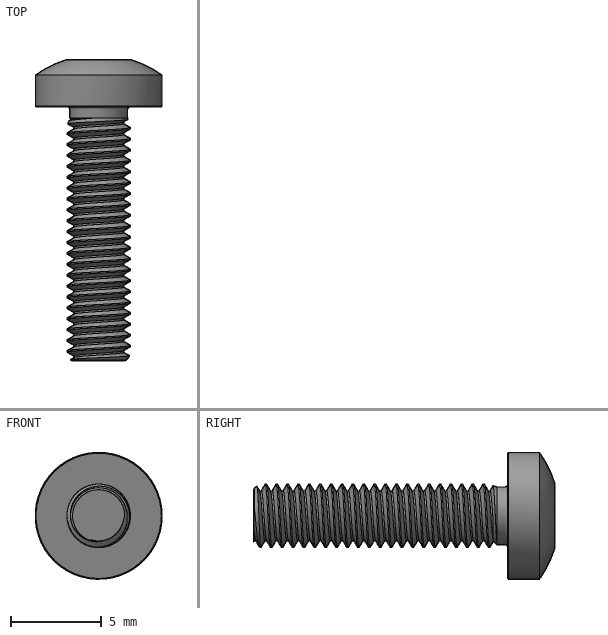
import cadquery as cq
import math


head_radius = 3.5
head_height = 2.6
head_side_height = 1.75
crown_radius = 6.0
head_edge_chamfer = 0.05

shank_length = 14.0
thread_radius = 1.75
neck_radius = 1.6
neck_length = 0.6
neck_fillet = 0.15

pitch = 0.6
flank_angle = math.radians(30)
thread_sharp_height = pitch / (2 * math.tan(flank_angle))
thread_depth = 17 / 24 * thread_sharp_height
root_radius = thread_radius - thread_depth
crest_width = pitch / 8
entry_cone_length = 0.45
tip_radius = 1.55
tip_cone_length = 0.36
tip_face_radius = 1.44
tip_chamfer_length = 0.05
groove_overcut = 0.03
groove_start = 0.275


def make_head():
    crown_centre = head_side_height - math.sqrt(crown_radius**2 - head_radius**2)
    flat_radius = math.sqrt(crown_radius**2 - (head_height - crown_centre) ** 2)
    mid_radius = (flat_radius + head_radius) / 2
    mid_height = crown_centre + math.sqrt(crown_radius**2 - mid_radius**2)
    outline = (
        cq.Workplane("XY")
        .lineTo(head_radius - head_edge_chamfer, 0)
        .lineTo(head_radius, head_edge_chamfer)
        .lineTo(head_radius, head_side_height)
        .threePointArc((mid_radius, mid_height), (flat_radius, head_height))
        .lineTo(0, head_height)
        .close()
    )
    return outline.revolve(360, (0, 0, 0), (0, 1, 0))


def make_neck():
    """Plain neck with a fillet under the head and a 45 degree run-out to the thread root."""
    fillet_mid = neck_fillet * (1 - math.sqrt(0.5))
    runout_end = neck_length + neck_radius - root_radius
    outline = (
        cq.Workplane("XY")
        .lineTo(neck_radius + neck_fillet, 0)
        .threePointArc((neck_radius + fillet_mid, -fillet_mid), (neck_radius, -neck_fillet))
        .lineTo(neck_radius, -neck_length)
        .lineTo(root_radius, -runout_end)
        .lineTo(0, -runout_end)
        .close()
    )
    return outline.revolve(360, (0, 0, 0), (0, 1, 0))


def make_thread_blank():
    """Crest envelope of the thread: cylinder with an entry cone and an edge-chamfered tip cone."""
    outline = (
        cq.Workplane("XY")
        .lineTo(neck_radius, 0)
        .lineTo(neck_radius, -neck_length)
        .lineTo(thread_radius, -neck_length - entry_cone_length)
        .lineTo(thread_radius, -shank_length + tip_cone_length)
        .lineTo(tip_radius, -shank_length + tip_chamfer_length)
        .lineTo(tip_face_radius, -shank_length)
        .lineTo(0, -shank_length)
        .close()
    )
    return outline.revolve(360, (0, 0, 0), (0, 1, 0))


def make_groove_turn():
    """One right-handed turn of the V groove with a flat root, starting on the +X side."""
    outer_radius = thread_radius + groove_overcut
    outer_half = (pitch - crest_width) / 2 + groove_overcut * math.tan(flank_angle)
    root_half = outer_half - (outer_radius - root_radius) * math.tan(flank_angle)
    corners = [
        (root_radius, -root_half),
        (outer_radius, -outer_half),
        (outer_radius, outer_half),
        (root_radius, root_half),
    ]
    helices = [
        cq.Wire.makeHelix(pitch, pitch, radius).translate(cq.Vector(0, 0, offset))
        for radius, offset in corners
    ]
    faces = []
    for i, helix in enumerate(helices):
        faces += cq.Face.makeRuledSurface(helices[i - 1], helix).Faces()
    for end in (0, 1):
        end_points = [helix.positionAt(end) for helix in helices]
        faces.append(cq.Face.makeFromWires(cq.Wire.makePolygon(end_points, close=True)))
    groove_turn = cq.Workplane(obj=cq.Solid.makeSolid(cq.Shell.makeShell(faces)))
    return groove_turn.rotate((0, 0, 0), (1, 0, 0), 90)


def make_thread():
    thread = make_thread_blank()
    groove_turn = make_groove_turn()
    turn_count = math.ceil((shank_length - groove_start) / pitch) + 1
    for turn in range(turn_count):
        thread = thread.cut(groove_turn.translate((0, -groove_start - turn * pitch, 0)))
    return thread


result = make_thread().union(make_neck()).union(make_head())